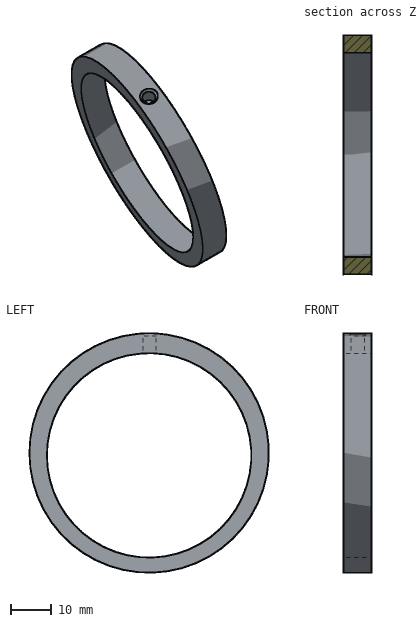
import cadquery as cq

outer_diameter = 59.3
bore_diameter = 50.5
width = 7.0
bore_drop = 0.6

hole_diameter = 3.25
countersink_diameter = 4.5
countersink_angle = 90.0

outer_radius = outer_diameter / 2


def make_disc(diameter, height):
    """Disc across the full width, centred on X and Y, with its axis at the given height."""
    return (
        cq.Workplane("YZ", origin=(-width / 2, 0, height))
        .circle(diameter / 2)
        .extrude(width)
    )


def make_ring():
    """Ring centred on the origin, with the bore lowered along Z."""
    return make_disc(outer_diameter, 0).cut(make_disc(bore_diameter, -bore_drop))


def drill_top_hole(ring):
    """Drill from the top of the ring down into the bore only."""
    top_plane = cq.Workplane("XY", origin=(0, 0, outer_radius))
    return ring.copyWorkplane(top_plane).cskHole(
        hole_diameter, countersink_diameter, countersink_angle, depth=outer_radius
    )


result = drill_top_hole(make_ring())